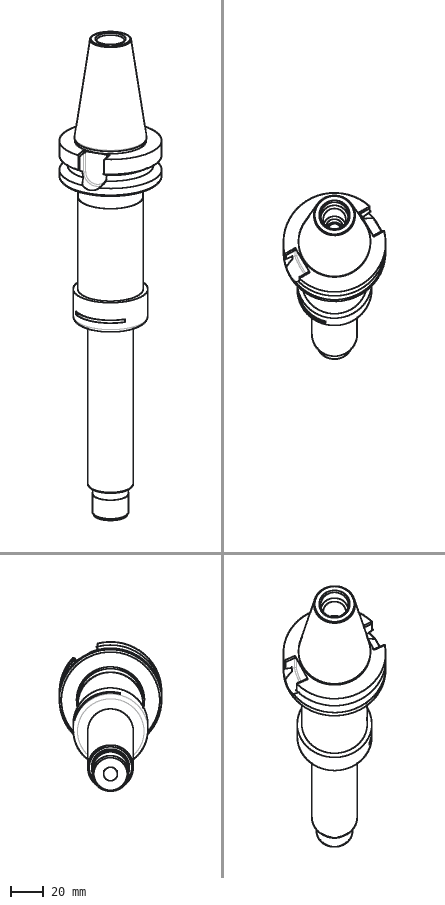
import cadquery as cq
import math

TOTAL_LENGTH = 315.0
FLANGE_TOP = 247.5
FLANGE_BOTTOM = 222.5
BODY_STEP = 210.5
COLLAR_TOP = 149.3
COLLAR_BOTTOM = 129.0
SHANK_BOTTOM = 19.2
NOSE_STEP = 14.0

TAPER_DIAMETER = 44.5
RELIEF_DIAMETER = 44.0
FLANGE_DIAMETER = 63.0
GROOVE_DIAMETER = 53.0
HUB_DIAMETER = 40.0
BODY_DIAMETER = 40.3
COLLAR_DIAMETER = 46.0
SHANK_DIAMETER = 28.0
NECK_DIAMETER = 22.0
NOSE_DIAMETER = 22.5

TAPER_RATIO = 7 / 24
TAPER_LENGTH = 65.0
LAND_LENGTH = 1.0
TAPER_CHAMFER = 0.5

FLANGE_CHAMFER = 1.3
FLANGE_ROOT = 1.0
COLLAR_ROUND = 2.5
SHANK_CHAMFER = 1.0
SHANK_ROOT = 0.5
NOSE_CHAMFER_HEIGHT = 1.5
NOSE_CHAMFER_DEPTH = 1.0

UPPER_RIM_HEIGHT = 9.8
GROOVE_SLOPE_HEIGHT = 2.8
GROOVE_FLAT = 3.8

SLOT_WIDTH = 16.0
SLOT_FLOOR_DISTANCE = 22.7
SLOT_HEIGHT = 21.5
SLOT_FLOOR_FILLET = 1.0
SLOT_EDGE_CHAMFER = 1.0

RECESS_WIDTH = 32.7
RECESS_BOTTOM = 135.7
RECESS_HEIGHT = 2.0
RECESS_DEPTH = 0.3

PILOT_DIAMETER = 17.0
PILOT_DEPTH = 8.8
THREAD_DIAMETER = 14.0
THREAD_DEPTH = 30.0
COUNTERBORE_DIAMETER = 10.5
COUNTERBORE_DEPTH = 37.8
THROUGH_DIAMETER = 8.5
BORE_CHAMFER = 1.0


def turned_body():
    """Revolve the outer profile, from the nose end up to the taper end."""
    r_nose = NOSE_DIAMETER / 2
    r_neck = NECK_DIAMETER / 2
    r_shank = SHANK_DIAMETER / 2
    r_collar = COLLAR_DIAMETER / 2
    r_body = BODY_DIAMETER / 2
    r_hub = HUB_DIAMETER / 2
    r_flange = FLANGE_DIAMETER / 2
    r_groove = GROOVE_DIAMETER / 2
    r_relief = RELIEF_DIAMETER / 2
    r_taper = TAPER_DIAMETER / 2
    r_taper_end = r_taper - TAPER_RATIO * TAPER_LENGTH / 2

    groove_top = FLANGE_TOP - UPPER_RIM_HEIGHT
    flat_top = groove_top - GROOVE_SLOPE_HEIGHT
    flat_bottom = flat_top - GROOVE_FLAT
    groove_bottom = flat_bottom - GROOVE_SLOPE_HEIGHT
    taper_bottom = TOTAL_LENGTH - TAPER_LENGTH
    land_bottom = taper_bottom - LAND_LENGTH
    round_mid = COLLAR_ROUND * (1 - math.sqrt(0.5))

    profile = (
        cq.Workplane("XZ")
        .lineTo(r_nose - NOSE_CHAMFER_DEPTH, 0)
        .lineTo(r_nose, NOSE_CHAMFER_HEIGHT)
        .lineTo(r_nose, NOSE_STEP)
        .lineTo(r_neck, NOSE_STEP)
        .lineTo(r_neck, SHANK_BOTTOM - SHANK_ROOT)
        .lineTo(r_neck + SHANK_ROOT, SHANK_BOTTOM)
        .lineTo(r_shank - SHANK_CHAMFER, SHANK_BOTTOM)
        .lineTo(r_shank, SHANK_BOTTOM + SHANK_CHAMFER)
        .lineTo(r_shank, COLLAR_BOTTOM)
        .lineTo(r_collar - COLLAR_ROUND, COLLAR_BOTTOM)
        .threePointArc(
            (r_collar - round_mid, COLLAR_BOTTOM + round_mid),
            (r_collar, COLLAR_BOTTOM + COLLAR_ROUND),
        )
        .lineTo(r_collar, COLLAR_TOP)
        .lineTo(r_body, COLLAR_TOP)
        .lineTo(r_body, BODY_STEP)
        .lineTo(r_hub, BODY_STEP)
        .lineTo(r_hub, FLANGE_BOTTOM - FLANGE_ROOT)
        .lineTo(r_hub + FLANGE_ROOT, FLANGE_BOTTOM)
        .lineTo(r_flange - FLANGE_CHAMFER, FLANGE_BOTTOM)
        .lineTo(r_flange, FLANGE_BOTTOM + FLANGE_CHAMFER)
        .lineTo(r_flange, groove_bottom)
        .lineTo(r_groove, flat_bottom)
        .lineTo(r_groove, flat_top)
        .lineTo(r_flange, groove_top)
        .lineTo(r_flange, FLANGE_TOP)
        .lineTo(r_relief, FLANGE_TOP)
        .lineTo(r_relief, land_bottom)
        .lineTo(r_taper, land_bottom)
        .lineTo(r_taper, taper_bottom)
        .lineTo(r_taper_end, TOTAL_LENGTH - TAPER_CHAMFER)
        .lineTo(r_taper_end - TAPER_CHAMFER, TOTAL_LENGTH)
        .lineTo(0, TOTAL_LENGTH)
        .close()
    )
    return profile.revolve(360, (0, 0), (0, 1))


def drive_slot():
    """Cutter for the -Y slot: round-bottomed, with a filleted floor."""
    half_width = SLOT_WIDTH / 2
    bottom = FLANGE_TOP - SLOT_HEIGHT
    arc_centre = bottom + half_width
    cutter = (
        cq.Workplane("XZ", origin=(0, -SLOT_FLOOR_DISTANCE, 0))
        .moveTo(-half_width, FLANGE_TOP)
        .lineTo(-half_width, arc_centre)
        .threePointArc((0, bottom), (half_width, arc_centre))
        .lineTo(half_width, FLANGE_TOP)
        .close()
        .extrude(FLANGE_DIAMETER / 2)
    )
    return cutter.faces(">Y").edges("not >Z").fillet(SLOT_FLOOR_FILLET)


def flared_prism(plane, flare, length):
    """Prism with a 45 degree trapezoid section, from the slot width outwards."""
    half_width = SLOT_WIDTH / 2
    return (
        cq.Workplane(plane)
        .moveTo(-half_width, 0)
        .lineTo(half_width, 0)
        .lineTo(half_width + flare, flare)
        .lineTo(-half_width - flare, flare)
        .close()
        .extrude(length)
    )


def slot_edge_chamfers():
    """Cutter that breaks the top and outer edges of the -Y slot in the upper rim."""
    r_flange = FLANGE_DIAMETER / 2
    rim_distance = math.sqrt(r_flange**2 - (SLOT_WIDTH / 2) ** 2)
    top_edges = flared_prism(
        cq.Plane.named("XZ", (0, -SLOT_FLOOR_DISTANCE, FLANGE_TOP - SLOT_EDGE_CHAMFER)),
        SLOT_EDGE_CHAMFER,
        r_flange - SLOT_FLOOR_DISTANCE,
    )
    flare_start = rim_distance - SLOT_EDGE_CHAMFER
    outer_edges = flared_prism(
        cq.Plane((0, -flare_start, FLANGE_TOP), xDir=(1, 0, 0), normal=(0, 0, -1)),
        r_flange - flare_start,
        UPPER_RIM_HEIGHT,
    )
    return top_edges.union(outer_edges)


def collar_recess():
    """Cutter for the shallow recess, following the round collar surface."""
    radius = COLLAR_DIAMETER / 2
    ring = (
        cq.Workplane("XY", origin=(0, 0, RECESS_BOTTOM))
        .circle(radius)
        .circle(radius - RECESS_DEPTH)
        .extrude(RECESS_HEIGHT)
    )
    front = cq.Workplane("XY", origin=(0, 0, RECESS_BOTTOM)).box(
        RECESS_WIDTH, 2 * radius, RECESS_HEIGHT, centered=(True, False, False)
    )
    return ring.intersect(front.translate((0, -2 * radius, 0)))


def bore():
    """Cutter for the stepped bore, with 45 degree cones at the mouth and the thread."""
    r_pilot = PILOT_DIAMETER / 2
    r_thread = THREAD_DIAMETER / 2
    r_counterbore = COUNTERBORE_DIAMETER / 2
    r_through = THROUGH_DIAMETER / 2
    pilot_floor = TOTAL_LENGTH - PILOT_DEPTH
    thread_floor = TOTAL_LENGTH - THREAD_DEPTH
    counterbore_floor = TOTAL_LENGTH - COUNTERBORE_DEPTH
    profile = (
        cq.Workplane("XZ")
        .lineTo(r_through, 0)
        .lineTo(r_through, counterbore_floor)
        .lineTo(r_counterbore, counterbore_floor)
        .lineTo(r_counterbore, thread_floor)
        .lineTo(r_thread, thread_floor)
        .lineTo(r_thread, pilot_floor - (r_pilot - r_thread))
        .lineTo(r_pilot, pilot_floor)
        .lineTo(r_pilot, TOTAL_LENGTH - BORE_CHAMFER)
        .lineTo(r_pilot + BORE_CHAMFER, TOTAL_LENGTH)
        .lineTo(0, TOTAL_LENGTH)
        .close()
    )
    return profile.revolve(360, (0, 0), (0, 1))


slot = drive_slot().union(slot_edge_chamfers())
body = turned_body().cut(slot).cut(slot.rotate((0, 0, 0), (0, 0, 1), 180))
result = body.cut(collar_recess()).cut(bore())